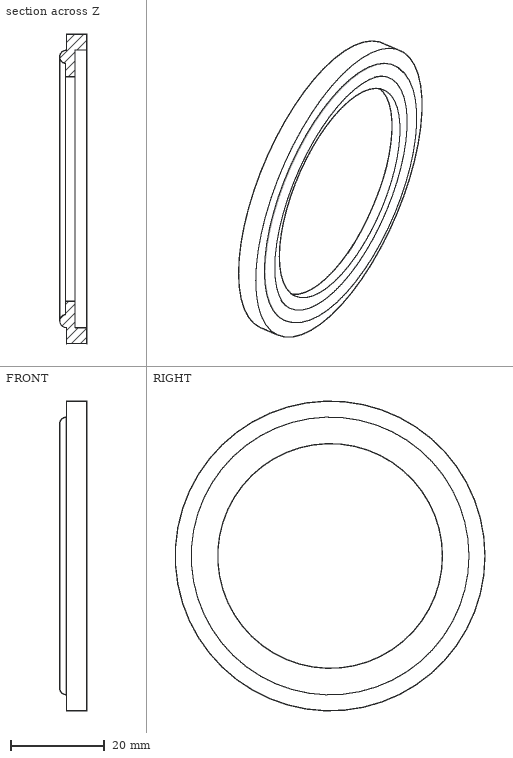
import cadquery as cq

outer_radius = 33.0
bore_radius = 23.9
rim_thickness = 4.35
web_thickness = 2.05
web_step = 0.2
bead_height = 1.25
bead_outer_radius = 29.6
bead_inner_radius = 26.7

total_thickness = rim_thickness + web_step + bead_height
rim_back_x = total_thickness / 2
rim_face_x = rim_back_x - rim_thickness
web_face_x = rim_face_x - web_step
web_back_x = web_face_x + web_thickness
bead_tip_x = web_face_x - bead_height
bead_middle_radius = (bead_inner_radius + bead_outer_radius) / 2

section = (
    cq.Workplane("XY")
    .moveTo(web_face_x, bore_radius)
    .lineTo(web_face_x, bead_inner_radius)
    .threePointArc((bead_tip_x, bead_middle_radius), (web_face_x, bead_outer_radius))
    .lineTo(rim_face_x, bead_outer_radius)
    .lineTo(rim_face_x, outer_radius)
    .lineTo(rim_back_x, outer_radius)
    .lineTo(rim_back_x, bead_outer_radius)
    .lineTo(web_back_x, bead_outer_radius)
    .lineTo(web_back_x, bore_radius)
    .close()
)

result = section.revolve(360, (0, 0, 0), (1, 0, 0))